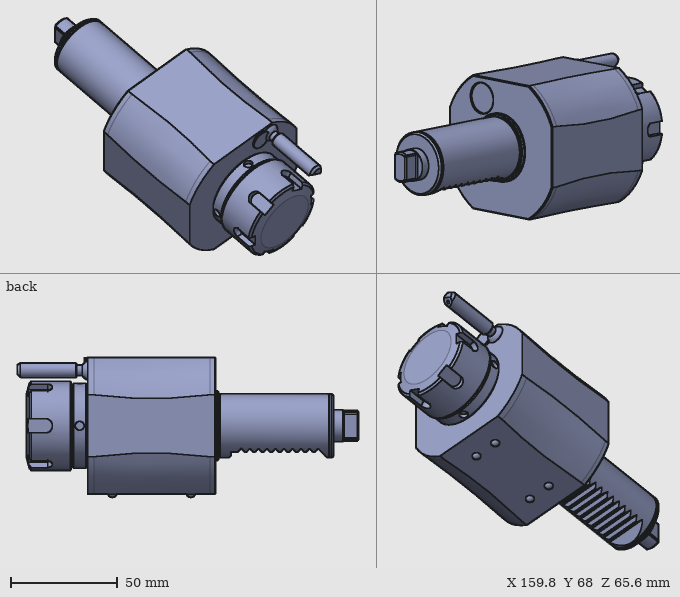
import cadquery as cq
import math

overall_length = 159.8

body_length = 60.0
body_width = 68.0
body_height = 64.0
body_radius = 37.0
body_waist_radius = 36.3
body_land = 2.9
body_edge_chamfer = 0.5

plug_y, plug_z = 12.5, 21.7
plug_radius = 7.5
plug_depth = 0.6
plug_chamfer = 0.3

stud_spacing_x = 36.8
stud_spacing_y = 12.0
stud_radius = 2.0
stud_height = 1.6

collar_radius = 16.3
collar_length = 1.5
collar_chamfer = 0.6
relief_width = 0.8
relief_depth = 0.3
shank_radius = 15.0
shank_end = -55.3
shank_chamfer = 1.0
ring_groove_offset = 1.9
ring_groove_width = 0.5
ring_groove_depth = 0.3
neck_radius = 7.5
neck_end = -59.5

tang_end = -67.0
tang_radius = 7.2
tang_width = 8.0
tang_edge_chamfer = 0.5
tang_end_chamfer = 0.8
tang_root_width = 0.8
tang_root_rise = 0.5

tooth_pitch = 4.0
tooth_depth = 1.6
valley_count = 10
tooth_tip_z = -12.3
first_valley_x = -48.0
tooth_flat_end = -7.2
tooth_wall_chamfer = 1.1

ring_start = 0.3
ring_end = 7.0
ring_radius = 20.0
ring_chamfer = 0.6
ring_hole_count = 4
ring_hole_radius = 2.0
ring_hole_depth = 2.4
gap_radius = 16.0
nut_start = 7.7
nut_shoulder = 26.4
nut_chamfer_end = 27.3
nut_end = 28.6
nut_radius = 21.0
nut_chamfer_radius = 19.8
nut_face_radius = 15.0
nut_rear_chamfer = 0.5

slot_count = 6
slot_width = 6.4
slot_floor_radius = 17.7
slot_start = 16.5
slot_round_length = 2.2

nozzle_y, nozzle_z = 17.0, 25.9
ball_radius = 4.8
ball_sink = 1.6
nozzle_neck_radius = 2.5
nozzle_start = 5.0
nozzle_radius = 3.5
nozzle_rear_chamfer = 0.6
nozzle_tip_chamfer = 1.0
nozzle_tip_chamfer_length = 1.5
jet_face_offset = 0.5
jet_hole_radius = 0.8
jet_hole_depth = 3.2

screw_y, screw_z = 10.4, 27.0
screw_radius = 4.8
screw_base_radius = 3.8
screw_cone_height = 0.6
screw_height = 1.5

front_face = body_length
nozzle_tip = tang_end + overall_length


def turned(points):
    """Solid of revolution about X from (x, radius) points, closed along the axis."""
    outline = [(points[0][0], 0)] + points + [(points[-1][0], 0)]
    profile = cq.Workplane("XY").polyline(outline).close()
    return profile.revolve(360, (0, 0, 0), (1, 0, 0))


def make_body():
    blank = cq.Workplane("XY").box(body_length, body_width, body_height, centered=(False, True, True))
    envelope = (
        cq.Workplane("XY")
        .lineTo(0, body_radius - body_edge_chamfer)
        .lineTo(body_edge_chamfer, body_radius)
        .lineTo(body_land, body_radius)
        .threePointArc((body_length / 2, body_waist_radius), (body_length - body_land, body_radius))
        .lineTo(body_length, body_radius)
        .lineTo(body_length, 0)
        .close()
        .revolve(360, (0, 0, 0), (1, 0, 0))
    )
    body = blank.faces("<X").chamfer(body_edge_chamfer).intersect(envelope)
    plug = turned([
        (0, plug_radius),
        (plug_chamfer, plug_radius - plug_chamfer),
        (plug_depth, plug_radius - plug_chamfer),
    ]).translate((0, plug_y, plug_z))
    return body.cut(plug)


def make_studs():
    dome_radius = (stud_radius**2 + stud_height**2) / (2 * stud_height)
    ball = cq.Workplane("XY").sphere(dome_radius).translate((0, 0, dome_radius - stud_height))
    below_body = cq.Workplane("XY").circle(stud_radius).extrude(-stud_height)
    stud = ball.intersect(below_body).val()
    return (
        cq.Workplane("XY", origin=(body_length / 2, 0, -body_height / 2))
        .rarray(stud_spacing_x, stud_spacing_y, 2, 2)
        .eachpoint(lambda place: stud.moved(place))
    )


def make_shank():
    groove_start = shank_end + ring_groove_offset
    groove_radius = shank_radius - ring_groove_depth
    shank = turned([
        (neck_end, neck_radius),
        (shank_end, neck_radius),
        (shank_end, shank_radius - shank_chamfer),
        (shank_end + shank_chamfer, shank_radius),
        (groove_start, shank_radius),
        (groove_start, groove_radius),
        (groove_start + ring_groove_width, groove_radius),
        (groove_start + ring_groove_width, shank_radius),
        (-collar_length - relief_width, shank_radius),
        (-collar_length - relief_width, shank_radius - relief_depth),
        (-collar_length, shank_radius - relief_depth),
        (-collar_length, collar_radius - collar_chamfer),
        (collar_chamfer - collar_length, collar_radius),
        (0, collar_radius),
    ])
    return shank.cut(make_tooth_cutter())


def make_tooth_cutter():
    """Row of 90 degree valleys, with a ramp at the rear and a chamfered wall at the front."""
    bottom_z = -shank_radius
    valley_z = tooth_tip_z + tooth_depth
    outline = [(first_valley_x - (valley_z - bottom_z), bottom_z)]
    for i in range(valley_count):
        valley_x = first_valley_x + i * tooth_pitch
        if i > 0:
            outline.append((valley_x - tooth_depth, tooth_tip_z))
        outline.append((valley_x, valley_z))
        outline.append((valley_x + tooth_depth, tooth_tip_z))
    outline += [
        (tooth_flat_end, tooth_tip_z),
        (tooth_flat_end, bottom_z + tooth_wall_chamfer),
        (tooth_flat_end + tooth_wall_chamfer, bottom_z),
    ]
    return cq.Workplane("XZ").polyline(outline).close().extrude(shank_radius, both=True)


def make_tang():
    length = neck_end - tang_end
    bar = cq.Workplane("YZ", origin=(tang_end, 0, 0)).circle(tang_radius).extrude(length)
    flats = cq.Workplane("XY", origin=(tang_end, 0, 0)).box(
        length, tang_width, 2 * tang_radius, centered=(False, True, True)
    )
    tang = bar.intersect(flats)
    tang = tang.edges("|X").chamfer(tang_edge_chamfer)
    tang = tang.faces("<X").chamfer(tang_end_chamfer)
    half_width = tang_width / 2
    root = (
        cq.Workplane("XY")
        .polyline([
            (neck_end - tang_root_width, -half_width),
            (neck_end, -half_width - tang_root_rise),
            (neck_end, half_width + tang_root_rise),
            (neck_end - tang_root_width, half_width),
        ])
        .close()
        .extrude(tang_radius, both=True)
    )
    return tang.union(root.intersect(bar))


def make_spindle():
    spindle = turned([
        (0, gap_radius),
        (ring_start, gap_radius),
        (ring_start, ring_radius - ring_chamfer),
        (ring_start + ring_chamfer, ring_radius),
        (ring_end - ring_chamfer, ring_radius),
        (ring_end, ring_radius - ring_chamfer),
        (ring_end, gap_radius),
        (nut_start, gap_radius),
        (nut_start, nut_radius - nut_rear_chamfer),
        (nut_start + nut_rear_chamfer, nut_radius),
        (nut_shoulder, nut_radius),
        (nut_chamfer_end, nut_chamfer_radius),
        (nut_end, nut_face_radius),
    ])
    hole_x = (ring_start + ring_end) / 2
    hole = cq.Workplane("XY", origin=(hole_x, 0, ring_radius - ring_hole_depth))
    hole = hole.circle(ring_hole_radius).extrude(2 * ring_hole_depth)
    for i in range(ring_hole_count):
        spindle = spindle.cut(hole.rotate((0, 0, 0), (1, 0, 0), 360 / ring_hole_count * i))
    slot = (
        cq.Workplane("XZ", origin=(0, -slot_floor_radius, 0))
        .moveTo(nut_end, -slot_width / 2)
        .lineTo(slot_start + slot_round_length, -slot_width / 2)
        .threePointArc((slot_start, 0), (slot_start + slot_round_length, slot_width / 2))
        .lineTo(nut_end, slot_width / 2)
        .close()
        .extrude(nut_radius)
    )
    for i in range(slot_count):
        spindle = spindle.cut(slot.rotate((0, 0, 0), (1, 0, 0), 360 / slot_count * i))
    return spindle.translate((front_face, 0, 0))


def make_nozzle():
    tip = nozzle_tip - front_face
    ball_reach = math.sqrt(ball_radius**2 - nozzle_neck_radius**2)
    bulge = ball_radius * math.sqrt(0.5)
    ball = (
        cq.Workplane("XY", origin=(-ball_sink, 0, 0))
        .lineTo(0, ball_radius)
        .threePointArc((bulge, bulge), (ball_reach, nozzle_neck_radius))
        .lineTo(ball_reach, 0)
        .close()
        .revolve(360, (0, 0, 0), (1, 0, 0))
    )
    tube = turned([
        (ball_reach - ball_sink, nozzle_neck_radius),
        (nozzle_start, nozzle_neck_radius),
        (nozzle_start, nozzle_radius - nozzle_rear_chamfer),
        (nozzle_start + nozzle_rear_chamfer, nozzle_radius),
        (tip - nozzle_tip_chamfer_length, nozzle_radius),
        (tip, nozzle_radius - nozzle_tip_chamfer),
    ])
    nozzle = tube.union(ball)
    edge = 2 * nozzle_radius
    jet_cutter = (
        cq.Workplane("XZ")
        .polyline([(tip, -jet_face_offset), (tip, -edge), (tip + jet_face_offset - edge, -edge)])
        .close()
        .extrude(edge, both=True)
    )
    jet_middle = (nozzle_radius - jet_face_offset) / 2
    jet_hole = cq.Workplane(cq.Plane(
        origin=(tip - jet_middle, 0, -jet_face_offset - jet_middle), xDir=(0, 1, 0), normal=(-1, 0, 1)
    )).circle(jet_hole_radius).extrude(jet_hole_depth)
    jet_turn = -math.degrees(math.atan2(nozzle_y, nozzle_z))
    for cutter in (jet_cutter, jet_hole):
        nozzle = nozzle.cut(cutter.rotate((0, 0, 0), (1, 0, 0), jet_turn))
    return nozzle.translate((front_face, nozzle_y, nozzle_z))


def make_screw_head():
    head = turned([
        (0, screw_base_radius),
        (screw_cone_height, screw_radius),
        (screw_height, screw_radius),
    ])
    return head.translate((front_face, screw_y, screw_z))


result = make_body()
for piece in (make_studs(), make_shank(), make_tang(), make_spindle(), make_screw_head(), make_nozzle()):
    result = result.union(piece)